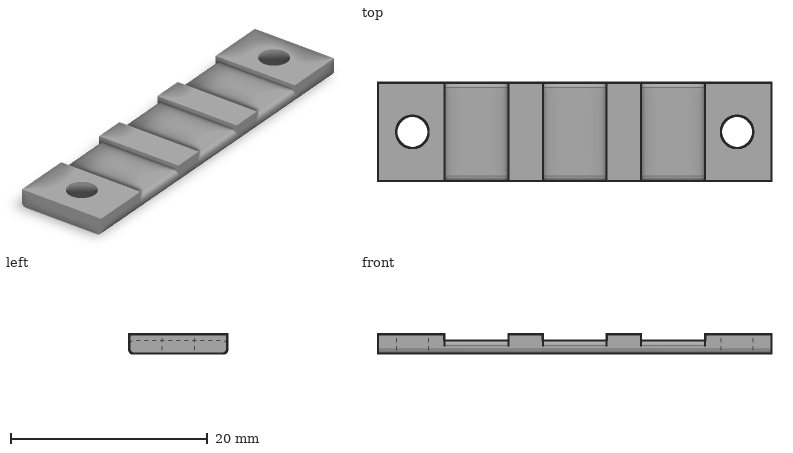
import cadquery as cq

length = 40.0
width = 10.0
thickness = 2.0
edge_radius = 0.5

recess_count = 3
recess_pitch = 10.0
recess_length = 6.5
recess_depth = 0.65

hole_diameter = 3.26
hole_spacing = 33.0

recess_floor = thickness - recess_depth
recess_centers = [(i - (recess_count - 1) / 2) * recess_pitch for i in range(recess_count)]


def make_plate():
    """Full-height plate with both lower long edges rounded."""
    plate = cq.Workplane("XY").box(length, width, thickness, centered=(True, True, False))
    return plate.edges("|X and <Z").fillet(edge_radius)


def make_recess_cutter(center_x):
    """Everything above the recess floor, with the floor rounded over at both long edges."""
    block = cq.Workplane("XY").box(recess_length, width, thickness, centered=(True, True, False))
    kept_core = (
        cq.Workplane("XY")
        .box(recess_length, width, recess_floor, centered=(True, True, False))
        .edges("|X and >Z")
        .fillet(edge_radius)
    )
    return block.cut(kept_core).translate((center_x, 0, 0))


def drill_mounting_holes(body):
    """Through hole at each end of the plate."""
    hole_x = hole_spacing / 2
    return (
        body.faces("<Z")
        .workplane(origin=(0, 0, 0))
        .pushPoints([(-hole_x, 0), (hole_x, 0)])
        .hole(hole_diameter)
    )


body = make_plate()
for recess_x in recess_centers:
    body = body.cut(make_recess_cutter(recess_x))

result = drill_mounting_holes(body)